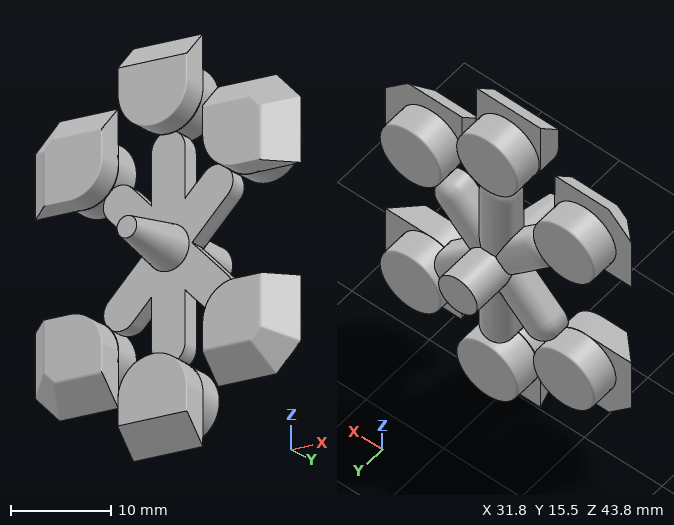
import cadquery as cq
import math

arm_half_width = 2.0
arm_depth = 3.33
arm_edge_round = 1.75
upright_arm_reach = 12.4
diagonal_arm_reach = 10.1
arms = [(90, upright_arm_reach), (45, diagonal_arm_reach), (-45, diagonal_arm_reach)]

pin_radius = 2.5
pin_back_length = 7.95
pin_tip_length = 7.55
pin_tip_radius = 1.2

disc_radius = 4.0
disc_depth = 3.45
disc_edge_round = 0.25
block_depth = 2.95
block_edge_round = 0.15
slope_angle = 45

end_pad_outer = 21.9
end_pad_half_width = 4.15
end_pad_inner = 12.05
end_disc_centre = 16.05

corner_pad_outer = 15.9
corner_pad_inner = 5.95
corner_pad_chamfer = 2.95
corner_pad_round = 4.0
corner_disc_centre = 9.9
corner_slope_round = 0.5


def front_plane():
    """XZ sketch plane at Y = 0; a positive extrusion goes toward -Y."""
    return cq.Workplane("XZ")


def disc(x, z):
    """Round disc behind a pad block, with its back rim rounded."""
    body = front_plane().center(x, z).circle(disc_radius).extrude(-disc_depth)
    return body.faces(">Y").edges().fillet(disc_edge_round)


def end_pad():
    """Pad at the +Z end: round toward the hub, sloped on its outer side."""
    arc_centre = end_pad_inner + end_pad_half_width
    block = (
        front_plane()
        .moveTo(-end_pad_half_width, end_pad_outer)
        .lineTo(-end_pad_half_width, arc_centre)
        .threePointArc((0, end_pad_inner), (end_pad_half_width, arc_centre))
        .lineTo(end_pad_half_width, end_pad_outer)
        .close()
        .extrude(block_depth)
    )
    block = block.faces("<Y").edges("not >Z").fillet(block_edge_round)
    slope_cut = (
        cq.Workplane("YZ")
        .moveTo(0, end_pad_outer)
        .lineTo(-block_depth, end_pad_outer)
        .lineTo(-block_depth, end_pad_outer - block_depth)
        .close()
        .extrude(end_pad_half_width, both=True)
    )
    return block.cut(slope_cut).union(disc(0, end_disc_centre))


def corner_pad():
    """Pad in the +X +Z corner: two sloped outer sides and a sloped corner between them."""
    frustum_inner = corner_pad_inner - 2 * block_depth
    chamfer_start = corner_pad_outer - corner_pad_chamfer
    frustum = (
        front_plane()
        .moveTo(frustum_inner, frustum_inner)
        .lineTo(corner_pad_outer, frustum_inner)
        .lineTo(corner_pad_outer, chamfer_start)
        .lineTo(chamfer_start, corner_pad_outer)
        .lineTo(frustum_inner, corner_pad_outer)
        .close()
        .extrude(block_depth, taper=slope_angle)
    )
    frustum = frustum.edges("not >Y").fillet(corner_slope_round)

    arc_centre = corner_pad_inner + corner_pad_round
    arc_middle = arc_centre - corner_pad_round * math.cos(math.radians(45))
    outline = (
        front_plane()
        .moveTo(corner_pad_outer, corner_pad_outer)
        .lineTo(corner_pad_inner, corner_pad_outer)
        .lineTo(corner_pad_inner, arc_centre)
        .threePointArc((arc_middle, arc_middle), (arc_centre, corner_pad_inner))
        .lineTo(corner_pad_outer, corner_pad_inner)
        .close()
        .extrude(block_depth)
    )
    outline = outline.faces("<Y").edges("not (>X or >Z)").fillet(block_edge_round)
    block = frustum.intersect(outline)
    return block.union(disc(corner_disc_centre, corner_disc_centre))


def arm_pair(angle, reach):
    """Round-ended bar through the centre, its back edge rounded all around."""
    bar = front_plane().slot2D(2 * reach, 2 * arm_half_width, angle).extrude(-arm_depth)
    return bar.faces(">Y").edges().fillet(arm_edge_round)


def pin():
    """Cylinder toward +Y and a tapered tip toward -Y."""
    return (
        cq.Workplane("XY")
        .moveTo(0, pin_back_length)
        .lineTo(pin_radius, pin_back_length)
        .lineTo(pin_radius, 0)
        .lineTo(pin_tip_radius, -pin_tip_length)
        .lineTo(0, -pin_tip_length)
        .close()
        .revolve(360, (0, 0, 0), (0, 1, 0))
    )


def make_pads():
    """Two end pads and four corner pads, mirrored about the XY and YZ planes."""
    upper_end = end_pad()
    upper_right = corner_pad()
    upper_pads = [upper_end, upper_right, upper_right.mirror("YZ")]
    lower_pads = [pad.mirror("XY") for pad in upper_pads]
    return upper_pads + lower_pads


def make_hub(pads):
    """Star and pin in one body, its arm tips hollowed to seat the pad discs."""
    hub = pin()
    for angle, reach in arms:
        hub = hub.union(arm_pair(angle, reach))
    for pad in pads:
        hub = hub.cut(pad)
    return hub


pads = make_pads()
hub = make_hub(pads)

result = cq.Compound.makeCompound([hub.val(), *[pad.val() for pad in pads]])